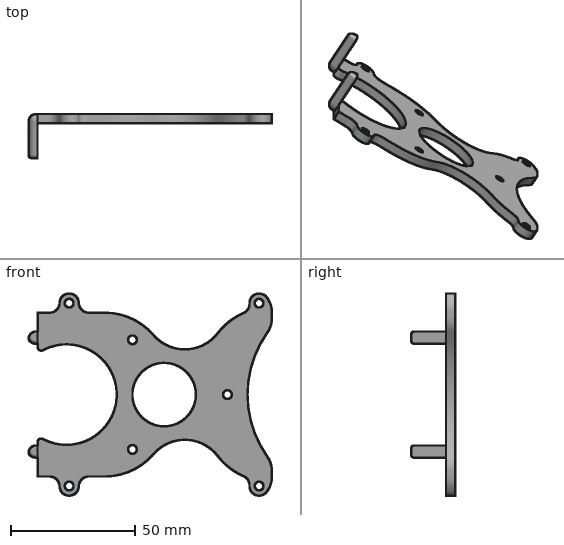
import cadquery as cq
import math

overall_length = 97.8
overall_depth = 17.8
overall_height = 81.3
plate_thickness = 3.8

bore_diameter = 25.4
screw_diameter = 3.4
screw_circle_radius = 25.4
screw_angles = (0, 120, 240)

ear_radius = 3.9
ear_fillet = 3.9
ear_x = 38.1
ear_z = overall_height / 2 - ear_radius

left_x = -50.85
flat_z = 33.0
shoulder_radius = 25.8
right_shoulder_x = 42.05
waist_radius = 16.6
waist_x = 8.3
waist_z = 34.8
tip_radius = 9.8
right_arc_radius = 43.0
mouth_radius = 20.1
mouth_x = -39.2
lip_fillet = 1.5

pin_height = 5.0
pin_rounding = 3.0
pin_z = 22.9
pin_width = 3.6
pin_end_fillet = 1.3
right_x = left_x - pin_width + overall_length


def leg(hypotenuse, other_leg):
    return math.sqrt(hypotenuse**2 - other_leg**2)


def toward(start, target, distance):
    """Point on the line from start through target, at a distance from start."""
    span = math.dist(start, target)
    return tuple(s + (t - s) * distance / span for s, t in zip(start, target))


def left_of_both(first, first_distance, second, second_distance):
    """Point at given distances from two points, left of the line from second to first."""
    span = math.dist(first, second)
    along = (second_distance**2 - first_distance**2 + span**2) / (2 * span)
    across = leg(second_distance, along)
    ux = (first[0] - second[0]) / span
    uz = (first[1] - second[1]) / span
    return (second[0] + along * ux - across * uz, second[1] + along * uz + across * ux)


def arc(path, center, radius, end):
    """Add the shorter arc about a center from the current point to end."""
    start = path.val().endPoint()
    chord_middle = ((start.x + end[0]) / 2, (start.z + end[1]) / 2)
    return path.threePointArc(toward(center, chord_middle, radius), end)


def make_half_plate():
    """Upper half of the plate, closed along z = 0; neighbouring arcs are tangent."""
    left_ear = (-ear_x, ear_z)
    right_ear = (ear_x, ear_z)
    waist = (waist_x, waist_z)

    fillet_z = flat_z + ear_fillet
    fillet_offset = leg(ear_radius + ear_fillet, fillet_z - ear_z)
    outer_fillet = (-ear_x - fillet_offset, fillet_z)
    inner_fillet = (-ear_x + fillet_offset, fillet_z)

    shoulder_gap = shoulder_radius + waist_radius
    left_shoulder_z = flat_z - shoulder_radius
    left_shoulder = (waist_x - leg(shoulder_gap, waist_z - left_shoulder_z), left_shoulder_z)
    right_shoulder = (right_shoulder_x, waist_z - leg(shoulder_gap, right_shoulder_x - waist_x))
    right_fillet = left_of_both(
        right_ear, ear_radius + ear_fillet, right_shoulder, shoulder_radius + ear_fillet
    )

    tip_x = right_x - tip_radius
    upper_tip = (tip_x, ear_z - leg(tip_radius - ear_radius, ear_x - tip_x))
    lower_tip = (tip_x, leg(right_arc_radius + tip_radius, right_arc_radius))
    right_arc = (tip_x + right_arc_radius, 0)

    path = cq.Workplane("XZ").moveTo(left_x, 0).lineTo(left_x, flat_z)
    path = path.lineTo(outer_fillet[0], flat_z)
    path = arc(path, outer_fillet, ear_fillet, toward(outer_fillet, left_ear, ear_fillet))
    path = path.threePointArc(
        (-ear_x, ear_z + ear_radius), toward(left_ear, inner_fillet, ear_radius)
    )
    path = arc(path, inner_fillet, ear_fillet, (inner_fillet[0], flat_z))
    path = path.lineTo(left_shoulder[0], flat_z)
    path = arc(path, left_shoulder, shoulder_radius, toward(left_shoulder, waist, shoulder_radius))
    path = arc(path, waist, waist_radius, toward(waist, right_shoulder, waist_radius))
    path = arc(
        path, right_shoulder, shoulder_radius, toward(right_shoulder, right_fillet, shoulder_radius)
    )
    path = arc(path, right_fillet, ear_fillet, toward(right_fillet, right_ear, ear_fillet))
    path = path.threePointArc(
        (ear_x, ear_z + ear_radius), toward(upper_tip, right_ear, tip_radius)
    )
    path = arc(path, upper_tip, tip_radius, (right_x, upper_tip[1]))
    path = path.lineTo(right_x, lower_tip[1])
    path = arc(path, lower_tip, tip_radius, toward(lower_tip, right_arc, tip_radius))
    path = arc(path, right_arc, right_arc_radius, (tip_x, 0))
    return path.close().extrude(plate_thickness)


def cylinder_cut(points, diameter):
    return cq.Workplane("XZ").pushPoints(points).circle(diameter / 2).extrude(plate_thickness)


def make_plate():
    half = make_half_plate()
    plate = half.union(half.mirror("XY"))
    plate = plate.cut(cylinder_cut([(mouth_x, 0)], 2 * mouth_radius))

    lip_z = leg(mouth_radius, left_x - mouth_x)
    for side in (-1, 1):
        lip = cq.selectors.NearestToPointSelector((left_x, -plate_thickness / 2, side * lip_z))
        plate = plate.edges("|Y").edges(lip).fillet(lip_fillet)

    screw_points = [(sx * ear_x, sz * ear_z) for sx in (-1, 1) for sz in (-1, 1)]
    for angle in screw_angles:
        turn = math.radians(angle)
        screw_points.append((screw_circle_radius * math.cos(turn), screw_circle_radius * math.sin(turn)))
    plate = plate.cut(cylinder_cut(screw_points, screw_diameter))
    return plate.cut(cylinder_cut([(0, 0)], bore_diameter))


def rounded_bar():
    """Bar along Y, base at z = 0, with its upper left edge and upper left back corner rounded."""
    bar = cq.Workplane("XY").box(2 * pin_width, overall_depth, pin_height, centered=False)
    bar = bar.translate((0, -overall_depth, 0))
    back_top = bar.edges(">Y and >Z")
    back_left = bar.edges("<X and >Y")
    long_edge = bar.edges("<X and >Z")
    bar = bar.newObject(back_top.vals() + back_left.vals() + long_edge.vals()).fillet(pin_rounding)
    front_rim = bar.faces("<Y").edges("not(<Z or >X)")
    return bar.newObject(front_rim.vals()).fillet(pin_end_fillet)


def make_pin():
    """Pin with a flat right side; its lower rounding starts where the upper one ends, at a slight ridge."""
    upper = rounded_bar()
    ridge_height = pin_height - pin_rounding
    lower_shift = pin_rounding - leg(pin_rounding, pin_rounding - ridge_height)
    lower = upper.mirror("XY").translate((-lower_shift, 0, pin_height))
    width_limit = cq.Workplane("XY").box(
        pin_width, overall_depth, pin_height, centered=False
    ).translate((0, -overall_depth, 0))
    pin = upper.intersect(lower).intersect(width_limit)
    return pin.translate((left_x - pin_width, 0, -pin_height / 2))


pin = make_pin()
result = make_plate()
for side in (-1, 1):
    result = result.union(pin.translate((0, 0, side * pin_z)))